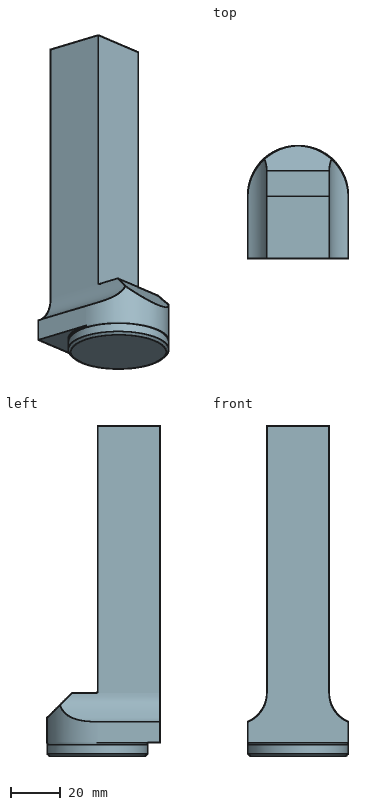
import cadquery as cq

total_height = 132.3
body_width = 40.4
body_length = 45.3
body_radius = body_width / 2
front_y = body_radius - body_length

shank_side = 25.0
shank_back_y = front_y + shank_side
shank_root_fillet = 0.5

body_bottom = 5.4
step_top = 25.4
shoulder_radius = 12.6
back_chamfer = 10.0

pad_diameter = body_width
pad_top = 4.6
pad_chamfer = 1.0
collar_top_diameter = pad_diameter
collar_bottom_diameter = 40.0


def make_foot():
    """D-shaped body with the rear top edge cut at 45 degrees."""
    height = step_top - body_bottom
    foot = (
        cq.Workplane("XY", origin=(0, 0, body_bottom))
        .moveTo(-body_radius, front_y)
        .lineTo(body_radius, front_y)
        .lineTo(body_radius, 0)
        .threePointArc((0, body_radius), (-body_radius, 0))
        .close()
        .extrude(height)
    )
    slope = (
        cq.Workplane("YZ")
        .moveTo(body_radius, step_top)
        .lineTo(body_radius - back_chamfer, step_top)
        .lineTo(body_radius, step_top - back_chamfer)
        .close()
        .extrude(body_radius, both=True)
    )
    return foot.cut(slope)


def make_shoulder_cutter(side):
    """Cylinder along Y that meets the shank side tangentially at the step top."""
    axis_x = side * (shank_side / 2 + shoulder_radius)
    return (
        cq.Workplane("XZ", origin=(0, front_y, 0))
        .center(axis_x, step_top)
        .circle(shoulder_radius)
        .extrude(-body_length)
    )


def make_shank():
    """Square bar rising from the foot."""
    return cq.Workplane("XY", origin=(0, 0, body_bottom)).box(
        shank_side, shank_side, total_height - body_bottom, centered=(True, True, False)
    ).translate((0, shank_back_y - shank_side / 2, 0))


def make_pad():
    """Round pad with a chamfered lower rim and a tapered collar above it."""
    pad = cq.Workplane("XY").circle(pad_diameter / 2).extrude(pad_top)
    pad = pad.faces("<Z").chamfer(pad_chamfer)
    collar = (
        cq.Workplane("XY", origin=(0, 0, pad_top))
        .circle(collar_bottom_diameter / 2)
        .workplane(offset=body_bottom - pad_top)
        .circle(collar_top_diameter / 2)
        .loft()
    )
    return pad.union(collar)


def make_root_fillet():
    """Concave strip in the corner between the shank back and the step."""
    reach = shank_root_fillet
    return (
        cq.Workplane("YZ")
        .moveTo(shank_back_y, step_top)
        .lineTo(shank_back_y + reach, step_top)
        .radiusArc((shank_back_y, step_top + reach), reach)
        .close()
        .extrude(shank_side / 2, both=True)
    )


foot = make_foot()
for side in (-1, 1):
    foot = foot.cut(make_shoulder_cutter(side))

result = foot.union(make_shank()).union(make_root_fillet()).union(make_pad())